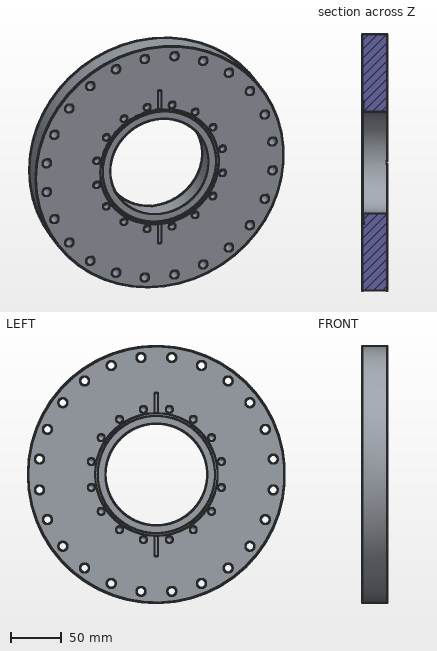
import cadquery as cq
import math

outer_diameter = 253.0
thickness = 25.0
bore_diameter = 100.0
rim_chamfer = 0.5

seat_outer_diameter = 120.7
land_diameter = 115.4
land_depth = 1.0
cone_drop = 1.0

bolt_count = 24
bolt_circle_diameter = 232.0
bolt_hole_diameter = 8.5

blind_count = 16
blind_circle_diameter = 130.5
blind_hole_diameter = 6.8
blind_hole_depth = 12.6
drill_point_angle = 118.0

groove_width = 3.5
groove_depth = 1.0
groove_tip_radius = 80.7

back_groove_width = 3.0
back_groove_depth = 0.8

front_x = -thickness / 2
back_x = thickness / 2


def at_each_angle(tool, count):
    """Copies of a tool around X, straddling the Y and Z axes."""
    pitch = 360 / count
    copies = cq.Workplane("YZ")
    for index in range(count):
        angle = (index + 0.5) * pitch
        copies = copies.add(tool.rotate((0, 0, 0), (1, 0, 0), angle))
    return copies.combine()


def make_body():
    disc = cq.Workplane("YZ", origin=(front_x, 0, 0)).circle(outer_diameter / 2).extrude(thickness)
    disc = disc.edges("%CIRCLE").chamfer(rim_chamfer)
    bore = cq.Workplane("YZ", origin=(front_x, 0, 0)).circle(bore_diameter / 2).extrude(thickness)
    return disc.cut(bore)


def make_seat():
    profile = [
        (front_x, 0),
        (front_x, seat_outer_diameter / 2),
        (front_x + land_depth + cone_drop, seat_outer_diameter / 2),
        (front_x + land_depth, land_diameter / 2),
        (front_x + land_depth, 0),
    ]
    return cq.Workplane("XY").polyline(profile).close().revolve(360, (0, 0, 0), (1, 0, 0))


def make_bolt_hole():
    plane = cq.Workplane("YZ", origin=(front_x, 0, bolt_circle_diameter / 2))
    return plane.circle(bolt_hole_diameter / 2).extrude(thickness)


def make_blind_hole():
    hole_radius = blind_hole_diameter / 2
    center = blind_circle_diameter / 2
    bottom_x = front_x + blind_hole_depth
    point_length = hole_radius / math.tan(math.radians(drill_point_angle / 2))
    half_section = [
        (front_x, center),
        (front_x, center + hole_radius),
        (bottom_x, center + hole_radius),
        (bottom_x + point_length, center),
    ]
    section = cq.Workplane("XY").polyline(half_section).close()
    return section.revolve(360, (front_x, center, 0), (bottom_x, center, 0))


def make_seat_groove():
    half_width = groove_width / 2
    round_radius = (half_width**2 + groove_depth**2) / (2 * groove_depth)
    axis_x = front_x + groove_depth - round_radius
    start = land_diameter / 2
    ball_center = groove_tip_radius - half_width
    channel = cq.Workplane("XY", origin=(axis_x, 0, start)).circle(round_radius).extrude(ball_center - start)
    ball = cq.Workplane("XY", origin=(axis_x, 0, ball_center)).sphere(round_radius)
    return channel.union(ball)


def make_back_groove():
    return cq.Workplane("XY", origin=(back_x, 0, 0)).box(2 * back_groove_depth, back_groove_width, outer_diameter)


seat_groove = make_seat_groove()

result = (
    make_body()
    .cut(make_seat())
    .cut(at_each_angle(make_bolt_hole(), bolt_count))
    .cut(at_each_angle(make_blind_hole(), blind_count))
    .cut(seat_groove)
    .cut(seat_groove.mirror("XY"))
    .cut(make_back_groove())
)